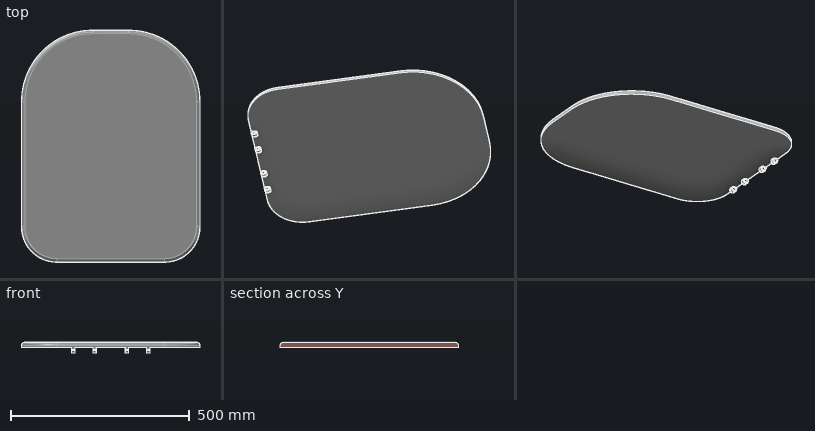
import cadquery as cq

LID_WIDTH = 500.0
LID_LENGTH = 650.0
LID_THICKNESS = 15.0
BACK_CORNER_RADIUS = 200.0
FRONT_CORNER_RADIUS = 100.0
RIM_FILLET = 10.0

PIN_DIAMETER = 10.0
KNUCKLE_DIAMETER = 16.0
KNUCKLE_WIDTH = 10.0
KNUCKLE_OFFSETS = (45.0, 105.0)
PIN_SETBACK = 10.0
WEB_FRONT_DROP = 5.0

FRONT_Y = -LID_LENGTH / 2
PIN_Y = FRONT_Y + PIN_SETBACK
PIN_Z = -KNUCKLE_DIAMETER / 2


def make_lid():
    """Flat lid with large corner arcs and a rounded top rim."""
    lid = cq.Workplane("XY").box(LID_WIDTH, LID_LENGTH, LID_THICKNESS, centered=(True, True, False))
    lid = lid.edges("|Z").edges(">Y").fillet(BACK_CORNER_RADIUS)
    lid = lid.edges("|Z").edges("<Y").fillet(FRONT_CORNER_RADIUS)
    return lid.faces(">Z").edges().fillet(RIM_FILLET)


def knuckle_plane(x_center):
    """YZ workplane on the low-X end face of a knuckle."""
    return cq.Workplane("YZ", origin=(x_center - KNUCKLE_WIDTH / 2, 0, 0))


def pin_cylinder(x_center, diameter):
    """Cylinder on the pin axis, one knuckle wide."""
    return knuckle_plane(x_center).center(PIN_Y, PIN_Z).circle(diameter / 2).extrude(KNUCKLE_WIDTH)


def make_web(x_center):
    """Web from the lid's front edge, sloping down to the frontmost line of the barrel."""
    return (
        knuckle_plane(x_center)
        .moveTo(FRONT_Y, 0)
        .lineTo(FRONT_Y, -WEB_FRONT_DROP)
        .lineTo(PIN_Y - KNUCKLE_DIAMETER / 2, PIN_Z)
        .lineTo(PIN_Y, PIN_Z)
        .lineTo(PIN_Y, 0)
        .close()
        .extrude(KNUCKLE_WIDTH)
    )


def make_knuckle(x_center):
    """Hinge barrel with its joining web and pin hole."""
    barrel = pin_cylinder(x_center, KNUCKLE_DIAMETER)
    return barrel.union(make_web(x_center)).cut(pin_cylinder(x_center, PIN_DIAMETER))


result = make_lid()
for offset in KNUCKLE_OFFSETS:
    for x_center in (-offset, offset):
        result = result.union(make_knuckle(x_center))